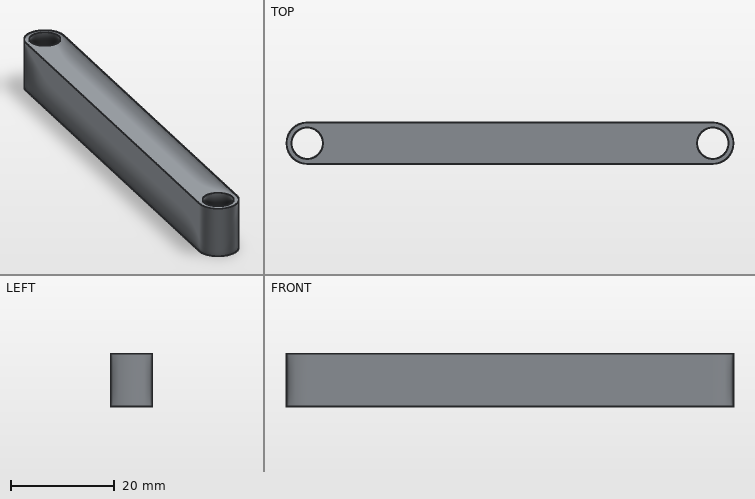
import cadquery as cq

length = 86.0
width = 8.0
height = 10.2
hole_diameter = 6.0

hole_spacing = length - width


def link_body():
    """Straight bar with fully rounded ends, standing on Z = 0."""
    return cq.Workplane("XY").slot2D(length, width).extrude(height)


def end_holes():
    """Cylinders that cut the through hole at each end."""
    half_spacing = hole_spacing / 2
    return (
        cq.Workplane("XY")
        .pushPoints([(-half_spacing, 0), (half_spacing, 0)])
        .circle(hole_diameter / 2)
        .extrude(height)
    )


result = link_body().cut(end_holes())